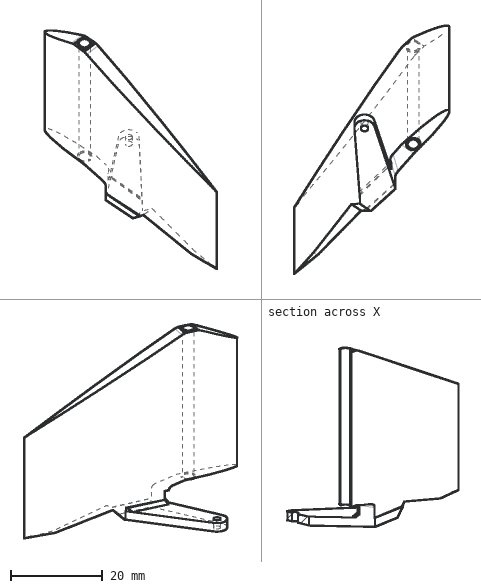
import cadquery as cq
import math

chord = 52.0
thickness_ratio = 0.07
blade_top = 42.05
blade_bottom = 6.55
max_half_thickness = chord * thickness_ratio / 2

pivot_x = 11.95
bore_diameter = 2.5
seat_diameter = 3.15
seat_height = 0.15

nose_top = 37.35
crown_start = 9.6
crown_end = 14.35
crown_flat_half = 1.6
shoulder_drop = 0.25
tail_top = 24.35
tail_bottom_start = 44.75
notch_x = 31.1
notch_z = 2.9
foot_end = 28.2
foot_rear_half_thickness = 1.6
slope_start = 13.85
slope_run = 6.15
slope_drop = 1.3

horn_thickness = 2.1
horn_eye_y = 13.95
horn_eye_radius = 2.25
horn_hole_diameter = 1.55
front_root_x = 18.8
rear_root_x = 28.0
rear_root_y = 1.55
root_fillet = 0.95
edge_chamfer_y = 0.95
edge_chamfer_x = 0.4
web_size = 0.85
overlap = 2.6


def half_thickness(fraction):
    """Half thickness of a symmetric four-digit airfoil with a closed tail."""
    series = (0.2969 * math.sqrt(fraction) - 0.126 * fraction - 0.3516 * fraction**2
              + 0.2843 * fraction**3 - 0.1036 * fraction**4)
    return 5 * thickness_ratio * chord * series


def tangent_point(x, y, side):
    """Point where a line from (x, y) touches the eye; side picks which one."""
    dx = x - pivot_x
    dy = y - horn_eye_y
    angle = math.atan2(dy, dx) + side * math.acos(horn_eye_radius / math.hypot(dx, dy))
    return (pivot_x + horn_eye_radius * math.cos(angle),
            horn_eye_y + horn_eye_radius * math.sin(angle))


def front_face_x(y):
    """X of the horn's front face, which runs straight on from the eye through the blade."""
    eye_x, eye_y = front_tangent
    return front_root_x + (eye_x - front_root_x) * y / eye_y


def prism_along_y(points):
    return cq.Workplane("XZ").polyline(points).close().extrude(2 * chord, both=True)


def airfoil_column():
    steps = 24
    upper = []
    for i in range(steps + 1):
        fraction = (1 - math.cos(math.pi * i / steps)) / 2
        upper.append((chord * fraction, half_thickness(fraction)))
    upper[-1] = (chord, 0)
    lower = [(x, -y) for x, y in reversed(upper)]
    section = cq.Workplane("XY").spline(upper).spline(lower).close()
    return section.extrude(blade_top + seat_height)


def blade_outline():
    shoulder_z = blade_top - shoulder_drop
    return prism_along_y([
        (0, 0), (foot_end, 0), (notch_x, notch_z), (tail_bottom_start, 0), (chord, 0),
        (chord, tail_top), (crown_end, shoulder_z),
        (pivot_x + crown_flat_half, blade_top), (pivot_x - crown_flat_half, blade_top),
        (crown_start, shoulder_z), (0, nose_top),
    ])


def front_relief():
    """Space ahead of the horn's leaning front face and below the blade."""
    slope_rate = slope_drop / slope_run
    far_x = slope_start + 3 * slope_run
    far_z = blade_bottom - slope_rate * (far_x - slope_start)
    under_blade = prism_along_y([
        (-overlap, -overlap), (far_x, -overlap), (far_x, far_z),
        (slope_start, blade_bottom), (-overlap, blade_bottom),
    ])
    y_low = -max_half_thickness - overlap
    y_high = max_half_thickness + overlap
    ahead = (
        cq.Workplane("XY").workplane(offset=-2 * overlap)
        .polyline([
            (-2 * overlap, y_low), (front_face_x(y_low), y_low),
            (front_face_x(y_high), y_high), (-2 * overlap, y_high),
        ]).close().extrude(blade_top)
    )
    relief = under_blade.intersect(ahead)
    root_point = (front_root_x, 0, blade_bottom - slope_drop)
    return relief.edges(cq.selectors.NearestToPointSelector(root_point)).fillet(root_fillet)


def horn():
    front_corner = (front_face_x(-max_half_thickness), -max_half_thickness)
    rear_tangent = tangent_point(rear_root_x, rear_root_y, 1)
    plate = (
        cq.Workplane("XY").moveTo(*front_corner).lineTo(*front_tangent)
        .threePointArc((pivot_x, horn_eye_y + horn_eye_radius), rear_tangent)
        .lineTo(rear_root_x, rear_root_y)
        .lineTo(notch_x, rear_root_y - (notch_x - rear_root_x))
        .lineTo(notch_x, -foot_rear_half_thickness)
        .close().extrude(horn_thickness)
    )
    foot_face = prism_along_y([
        (0, 0), (foot_end, 0), (foot_end + horn_thickness, horn_thickness), (0, horn_thickness),
    ])
    hole = cq.Workplane("XY").center(pivot_x, horn_eye_y).circle(horn_hole_diameter / 2)
    return plate.intersect(foot_face).cut(hole.extrude(horn_thickness))


def edge_bevel():
    """Cutter for the upright bevel on the rear corner of the front face."""
    far_y = max_half_thickness + overlap
    start_x = front_face_x(edge_chamfer_y)
    end_x = start_x + edge_chamfer_x
    return (
        cq.Workplane("XY").workplane(offset=horn_thickness)
        .polyline([
            (start_x, edge_chamfer_y), (end_x, max_half_thickness),
            (end_x, far_y), (front_face_x(far_y), far_y),
        ]).close().extrude(notch_z)
    )


def horn_web():
    """45 degree bevel from the top of the horn to the blade side and its upright bevel."""
    start_x = front_face_x(edge_chamfer_y)
    bevel_y = max_half_thickness - edge_chamfer_y
    core = (
        cq.Workplane("XY").workplane(offset=horn_thickness)
        .polyline([
            (start_x - edge_chamfer_x, edge_chamfer_y - bevel_y),
            (start_x + edge_chamfer_x, max_half_thickness),
            (notch_x, max_half_thickness),
            (notch_x, edge_chamfer_y - bevel_y),
        ]).close()
    )
    bevel = core.offset2D(web_size, "intersection").extrude(web_size, taper=45)
    far_y = max_half_thickness + overlap
    plan = (
        cq.Workplane("XY")
        .polyline([
            (front_face_x(0), 0), (front_face_x(far_y), far_y),
            (rear_root_x + rear_root_y - far_y, far_y), (rear_root_x, rear_root_y), (rear_root_x, 0),
        ]).close().extrude(blade_bottom)
    )
    return bevel.intersect(plan)


def pivot_cylinder(diameter, bottom, top):
    base = cq.Workplane("XY").workplane(offset=bottom).center(pivot_x, 0)
    return base.circle(diameter / 2).extrude(top - bottom)


front_tangent = tangent_point(front_root_x, 0, -1)
relief = front_relief()
seat_bottom = blade_bottom - seat_height
seat_top = blade_top + seat_height
blade = airfoil_column().intersect(blade_outline()).cut(relief).cut(edge_bevel())
blade = blade.union(pivot_cylinder(seat_diameter, seat_bottom, seat_top))
result = blade.union(horn()).union(horn_web())
result = result.cut(pivot_cylinder(bore_diameter, seat_bottom, seat_top))